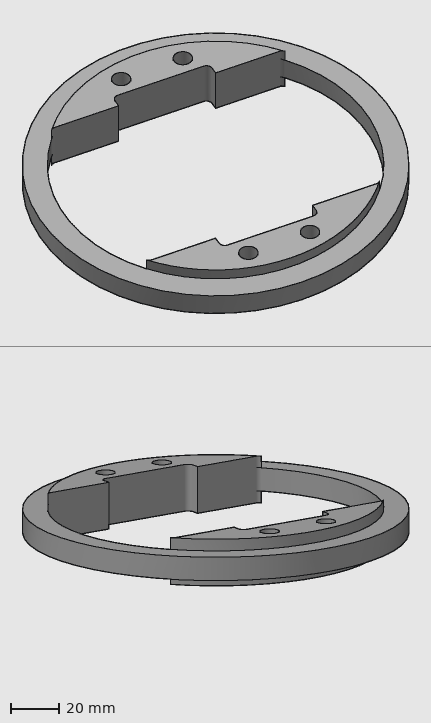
import cadquery as cq

outer_diameter = 160.0
inner_diameter = 139.2
overall_height = 20.0
ring_height = overall_height / 2

block_gap = 90.0
corner_radius = 2.5

recess_span = 101.8
recess_width = 44.8

hole_diameter = 8.0
hole_spacing_x = 118.0
hole_spacing_y = 28.5


def cylinder(diameter, height):
    """Upright cylinder centred on the origin."""
    return cq.Workplane("XY").workplane(offset=-height / 2).circle(diameter / 2).extrude(height)


def filleted_box(length, width):
    """Full-height box with rounded vertical edges."""
    return cq.Workplane("XY").box(length, width, overall_height).edges("|Z").fillet(corner_radius)


def make_ring():
    return cylinder(outer_diameter, ring_height).cut(cylinder(inner_diameter, ring_height))


def make_blocks():
    disc = cylinder(inner_diameter, overall_height)
    gap_box = cq.Workplane("XY").box(block_gap, outer_diameter, overall_height)
    opening = disc.intersect(gap_box).edges("|Z and (<X or >X)").fillet(corner_radius)
    recesses = filleted_box(recess_span, recess_width)
    holes = (
        cq.Workplane("XY")
        .workplane(offset=-overall_height / 2)
        .rarray(hole_spacing_x, hole_spacing_y, 2, 2)
        .circle(hole_diameter / 2)
        .extrude(overall_height)
    )
    return disc.cut(opening).cut(recesses).cut(holes)


result = make_ring().union(make_blocks())